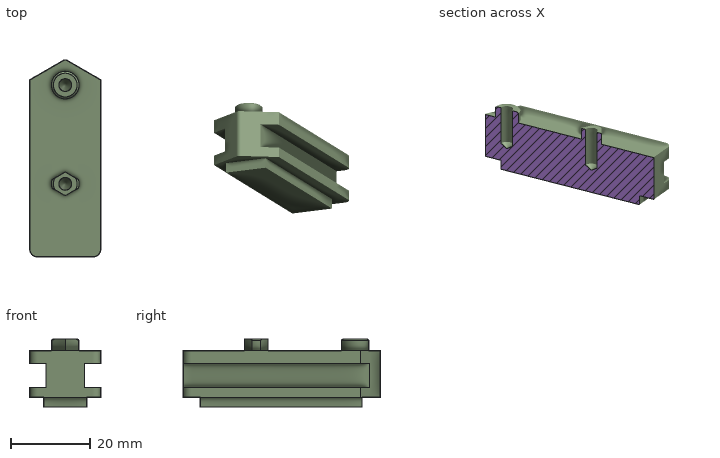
import cadquery as cq
import math

body_width = 18.0
body_length = 49.86
point_angle = 30.0
point_radius = 1.0
corner_radius = 2.0

pad_height = 2.5
lower_flange_height = 2.5
groove_height = 6.0
upper_flange_height = 3.3
boss_height = 3.0

neck_width = 9.8

pad_width = 11.0
pad_length = 41.0
pad_front_y = 4.25

boss_diameter = 7.0
hex_boss_y = 18.5
boss_spacing = 25.0
round_boss_y = hex_boss_y + boss_spacing
hex_point_distance = 6.0
boss_chamfer_width = 0.5
boss_chamfer_height = 0.4

hole_diameter = 3.24
hole_depth = 10.0
drill_tip_angle = 118.0

slope = math.tan(math.radians(point_angle))
point_rounding_loss = point_radius * (1 / math.cos(math.radians(point_angle)) - 1)
sharp_point_y = body_length + point_rounding_loss
shoulder_y = sharp_point_y - body_width / 2 * slope
body_height = lower_flange_height + groove_height + upper_flange_height
body_bottom_z = pad_height
groove_bottom_z = body_bottom_z + lower_flange_height
body_top_z = body_bottom_z + body_height
boss_top_z = body_top_z + boss_height


def make_body():
    half_width = body_width / 2
    outline = [
        (-half_width, 0),
        (half_width, 0),
        (half_width, shoulder_y),
        (0, sharp_point_y),
        (-half_width, shoulder_y),
    ]
    body = cq.Workplane("XY").workplane(offset=body_bottom_z).polyline(outline).close().extrude(body_height)
    body = body.edges("|Z and <Y").fillet(corner_radius)
    return body.edges("|Z and >Y").fillet(point_radius)


def make_groove(side):
    """Full-length side groove; side is -1 or +1 along X."""
    groove_depth = (body_width - neck_width) / 2
    center_x = side * (neck_width + groove_depth) / 2
    return (
        cq.Workplane("XY")
        .workplane(offset=groove_bottom_z)
        .center(center_x, body_length / 2)
        .rect(groove_depth, body_length)
        .extrude(groove_height)
    )


def make_pad():
    return (
        cq.Workplane("XY")
        .center(0, pad_front_y + pad_length / 2)
        .rect(pad_width, pad_length)
        .extrude(pad_height)
    )


def make_round_boss(y):
    boss = cq.Workplane("XY").workplane(offset=body_top_z).center(0, y).circle(boss_diameter / 2)
    boss = boss.extrude(boss_height)
    return boss.faces(">Z").edges().chamfer(boss_chamfer_height, boss_chamfer_width)


def make_hex_boss(y):
    """Chamfered round boss trimmed by four flats that meet in points toward -Y and +Y."""
    half_points = hex_point_distance / 2
    diamond = [
        (0, -half_points),
        (half_points / slope, 0),
        (0, half_points),
        (-half_points / slope, 0),
    ]
    flats = (
        cq.Workplane("XY")
        .workplane(offset=body_top_z)
        .center(0, y)
        .polyline(diamond)
        .close()
        .extrude(boss_height)
    )
    return make_round_boss(y).intersect(flats)


def make_hole(y):
    """Drilled hole from the boss top, ending in a conical tip."""
    radius = hole_diameter / 2
    tip_length = radius / math.tan(math.radians(drill_tip_angle / 2))
    profile = [
        (0, 0),
        (radius, 0),
        (radius, -hole_depth),
        (0, -hole_depth - tip_length),
    ]
    hole = cq.Workplane("XZ").polyline(profile).close().revolve(360, (0, 0), (0, 1))
    return hole.translate((0, y, boss_top_z))


result = make_body()
for side in (-1, 1):
    result = result.cut(make_groove(side))
result = result.union(make_pad())
result = result.union(make_round_boss(round_boss_y))
result = result.union(make_hex_boss(hex_boss_y))
for hole_y in (hex_boss_y, round_boss_y):
    result = result.cut(make_hole(hole_y))